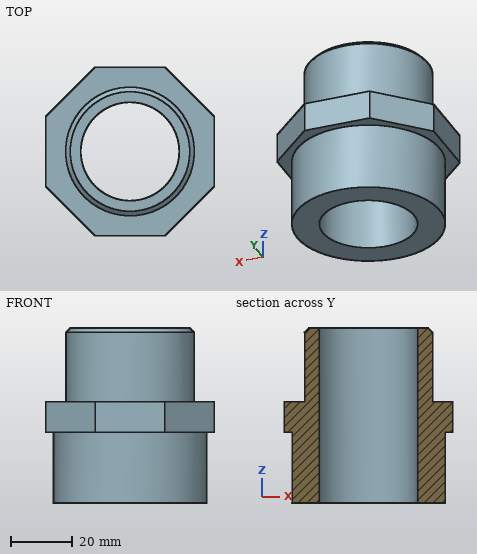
import cadquery as cq
import math

total_height = 57.0
flats_width = 55.0

collar_bottom = 23.0
collar_height = 10.0
collar_top = collar_bottom + collar_height

lower_diameter = 50.0
upper_diameter = 41.9
bore_diameter = 32.0
rim_chamfer = 1.5


def lower_sleeve():
    return cq.Workplane("XY").circle(lower_diameter / 2).extrude(collar_bottom)


def octagonal_collar():
    sides = 8
    half_side_angle = 180 / sides
    corner_diameter = flats_width / math.cos(math.radians(half_side_angle))
    return (
        cq.Workplane("XY")
        .workplane(offset=collar_bottom)
        .polygon(sides, corner_diameter)
        .extrude(collar_height)
        .rotate((0, 0, 0), (0, 0, 1), half_side_angle)
    )


def upper_spigot():
    return (
        cq.Workplane("XY")
        .workplane(offset=collar_top)
        .circle(upper_diameter / 2)
        .extrude(total_height - collar_top)
        .faces(">Z")
        .chamfer(rim_chamfer)
    )


def through_bore():
    return cq.Workplane("XY").circle(bore_diameter / 2).extrude(total_height)


result = lower_sleeve().union(octagonal_collar()).union(upper_spigot()).cut(through_bore())